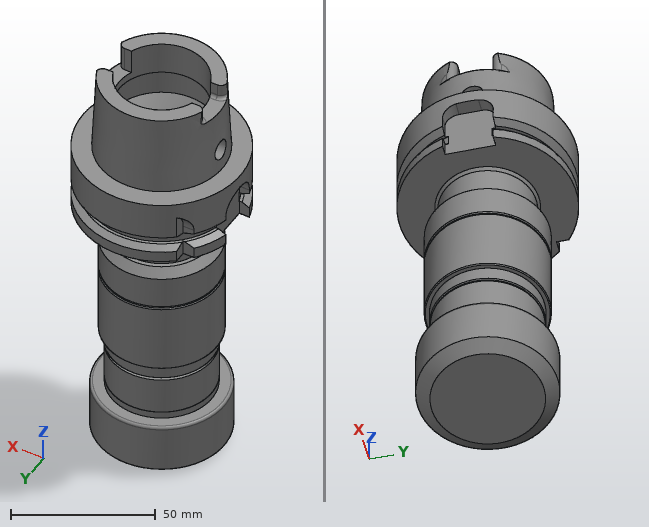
import cadquery as cq
import math


SHANK_LENGTH = 31.5
SHANK_BASE_R = 24.25
SHANK_TOP_R = 22.75
BORE_R = 34.05 / 2
BORE_STRAIGHT_DEPTH = 13.0
BORE_RELIEF_R = 40.01 / 2
BORE_RELIEF_BEVEL = 1.5
BORE_DEPTH = 29.3
BORE_FLOOR_R = 15.7
CROSS_HOLE_D = 7.5
CROSS_HOLE_Z = 8.6

DRIVE_SLOT_WIDTH = 12.5
DRIVE_SLOT_MOUTH_X = 21.1
DRIVE_SLOT_CORNER_R = 2.5
SHALLOW_SLOT_DEPTH = 6.0
SHALLOW_SLOT_FILLET = 1.3
DEEP_SLOT_DEPTH = 9.9

FLANGE_R = 62.94 / 2
FLANGE_HEIGHT = 26.0
GRIP_GROOVE_R = 27.5
GRIP_GROOVE_FLANK_R = 28.7
GRIP_GROOVE_Z = -18.35
GRIP_GROOVE_MOUTH = 6.7
GRIP_GROOVE_BOTTOM = 3.9

KEYWAY_TOP_Z = -5.35
KEYWAY_FLOOR = 26.4
ROUND_KEYWAY_WIDTH = 16.0
SQUARE_KEYWAY_WIDTH = 18.0
SQUARE_KEYWAY_CORNER_R = 5.0
NOTCH_FLOOR = 20.2
NOTCH_INNER_Y = 19.7
NOTCH_END_R = 8.0

NECK_R = 34.6 / 2
NECK_CHAMFER = 1.0

BODY_TOP_Z = -39.7
BODY_R = 44.03 / 2
BODY_TOP_CHAMFER = 3.1
JOINT_TOP_Z = -55.5
JOINT_BOTTOM_Z = -56.9
SLEEVE_CHAMFER = 0.4
BODY_BOTTOM_Z = -84.5

COLLAR_R = 40.39 / 2
COLLAR_BOTTOM_Z = -90.5
COLLAR_CHAMFER = 0.4
GAP_R = 34.05 / 2
NUT_SHANK_TOP_Z = -91.4
NUT_SHANK_R = 40.08 / 2
NUT_NECK_TOP_Z = -106.3
NUT_NECK_R = 39.88 / 2

NUT_TOP_Z = -109.1
NUT_R = 50.0 / 2
NUT_TOP_EDGE_R = 1.0
NUT_BOTTOM_BEVEL_Z = -128.4
NUT_BOTTOM_R = 40.01 / 2
TOTAL_LENGTH = 163.1
BOTTOM_Z = SHANK_LENGTH - TOTAL_LENGTH

SELECT_MARGIN = 0.1


def revolve_profile(points):
    """Turn (radius, z) points into a solid of revolution about the Z axis."""
    return cq.Workplane("XZ").polyline(points).close().revolve(360, (0, 0, 0), (0, 1, 0))


def turned_body():
    """Shank, flange, neck, chuck body and nut in one revolved outline from top to bottom."""
    groove_mouth = GRIP_GROOVE_MOUTH / 2
    groove_bottom = GRIP_GROOVE_BOTTOM / 2
    shank_and_flange = [
        (0, SHANK_LENGTH),
        (SHANK_TOP_R, SHANK_LENGTH),
        (SHANK_BASE_R, 0),
        (FLANGE_R, 0),
        (FLANGE_R, GRIP_GROOVE_Z + groove_mouth),
        (GRIP_GROOVE_FLANK_R, GRIP_GROOVE_Z + groove_bottom),
        (GRIP_GROOVE_R, GRIP_GROOVE_Z + groove_bottom),
        (GRIP_GROOVE_R, GRIP_GROOVE_Z - groove_bottom),
        (GRIP_GROOVE_FLANK_R, GRIP_GROOVE_Z - groove_bottom),
        (FLANGE_R, GRIP_GROOVE_Z - groove_mouth),
        (FLANGE_R, -FLANGE_HEIGHT),
    ]
    neck_and_body = [
        (NECK_R + NECK_CHAMFER, -FLANGE_HEIGHT),
        (NECK_R, -FLANGE_HEIGHT - NECK_CHAMFER),
        (NECK_R, BODY_TOP_Z),
        (BODY_R - BODY_TOP_CHAMFER, BODY_TOP_Z),
        (BODY_R, BODY_TOP_Z - BODY_TOP_CHAMFER),
        (BODY_R, JOINT_TOP_Z),
        (BODY_R - SLEEVE_CHAMFER, JOINT_TOP_Z - SLEEVE_CHAMFER),
        (BODY_R - SLEEVE_CHAMFER, JOINT_BOTTOM_Z + SLEEVE_CHAMFER),
        (BODY_R, JOINT_BOTTOM_Z),
        (BODY_R, BODY_BOTTOM_Z + SLEEVE_CHAMFER),
        (BODY_R - SLEEVE_CHAMFER, BODY_BOTTOM_Z),
    ]
    collar_and_nut_shank = [
        (COLLAR_R, BODY_BOTTOM_Z),
        (COLLAR_R, COLLAR_BOTTOM_Z + COLLAR_CHAMFER),
        (COLLAR_R - COLLAR_CHAMFER, COLLAR_BOTTOM_Z),
        (GAP_R, COLLAR_BOTTOM_Z),
        (GAP_R, NUT_SHANK_TOP_Z),
        (NUT_SHANK_R, NUT_SHANK_TOP_Z),
        (NUT_SHANK_R, NUT_NECK_TOP_Z),
        (NUT_NECK_R, NUT_NECK_TOP_Z),
    ]
    nut = [
        (NUT_NECK_R, NUT_TOP_Z),
        (NUT_R, NUT_TOP_Z),
        (NUT_R, NUT_BOTTOM_BEVEL_Z),
        (NUT_BOTTOM_R, BOTTOM_Z),
        (0, BOTTOM_Z),
    ]
    body = revolve_profile(shank_and_flange + neck_and_body + collar_and_nut_shank + nut)
    nut_top_edge = cq.selectors.BoxSelector(
        (-NUT_R, -NUT_R, NUT_TOP_Z - SELECT_MARGIN),
        (NUT_R, NUT_R, NUT_TOP_Z + SELECT_MARGIN),
    )
    return body.edges(nut_top_edge).edges(cq.selectors.RadiusNthSelector(-1)).fillet(NUT_TOP_EDGE_R)


def shank_bore():
    """Straight bore that opens into a wider clamping space with a bevelled floor edge."""
    relief_top_z = SHANK_LENGTH - BORE_STRAIGHT_DEPTH
    floor_z = SHANK_LENGTH - BORE_DEPTH
    return revolve_profile([
        (0, SHANK_LENGTH),
        (BORE_R, SHANK_LENGTH),
        (BORE_R, relief_top_z),
        (BORE_RELIEF_R, relief_top_z - BORE_RELIEF_BEVEL),
        (BORE_RELIEF_R, floor_z + BORE_RELIEF_R - BORE_FLOOR_R),
        (BORE_FLOOR_R, floor_z),
        (0, floor_z),
    ])


def cross_hole():
    """Round hole along X through both walls of the shank."""
    return (
        cq.Workplane("YZ", origin=(-FLANGE_R, 0, 0))
        .center(0, CROSS_HOLE_Z)
        .circle(CROSS_HOLE_D / 2)
        .extrude(2 * FLANGE_R)
    )


def drive_slot(depth):
    """Slot through the +X wall of the shank, rounding the ends of the rim on both sides.

    Each rim end is rounded until it faces straight away from the axis, and is
    flat and tangent to the round from there outwards.
    """
    corner = DRIVE_SLOT_CORNER_R
    wall_y = DRIVE_SLOT_WIDTH / 2
    center_x = DRIVE_SLOT_MOUTH_X - corner
    center_y = wall_y + corner
    end_angle = math.atan2(center_y, center_x)
    mid_angle = (end_angle - math.pi / 2) / 2
    arc_mid = (center_x + corner * math.cos(mid_angle), center_y + corner * math.sin(mid_angle))
    arc_end = (center_x + corner * math.cos(end_angle), center_y + corner * math.sin(end_angle))
    flat_end = (
        arc_end[0] - SHANK_BASE_R * math.sin(end_angle),
        arc_end[1] + SHANK_BASE_R * math.cos(end_angle),
    )
    half_slot = (
        cq.Workplane("XY", origin=(0, 0, SHANK_LENGTH - depth))
        .lineTo(0, wall_y)
        .lineTo(center_x, wall_y)
        .threePointArc(arc_mid, arc_end)
        .lineTo(*flat_end)
        .lineTo(FLANGE_R, flat_end[1])
        .lineTo(FLANGE_R, 0)
        .close()
        .extrude(depth)
    )
    return half_slot.union(half_slot.mirror("XZ"))


def shallow_drive_slot():
    """Slot on the -X side with its floor filleted into its walls."""
    slot = drive_slot(SHALLOW_SLOT_DEPTH).faces("<Z").edges().fillet(SHALLOW_SLOT_FILLET)
    rim_side = (
        cq.Workplane("XY", origin=(SHALLOW_SLOT_FILLET, 0, 0))
        .box(FLANGE_R, 2 * FLANGE_R, 2 * SHANK_LENGTH, centered=(False, True, True))
    )
    return slot.intersect(rim_side).rotate((0, 0, 0), (0, 0, 1), 180)


def keyway(direction, width, corner_r, floor, center_y):
    """Keyway in the flange rim, open at the flange bottom and rounded at its top corners.

    direction is +1 for the +X side and -1 for the -X side.
    """
    half = width / 2
    arc_mid = corner_r * (1 - math.sqrt(0.5))
    top_half = half - corner_r
    shoulder_z = KEYWAY_TOP_Z - corner_r
    outline = (
        cq.Workplane("YZ", origin=(direction * floor, 0, 0))
        .moveTo(center_y - half, -FLANGE_HEIGHT)
        .lineTo(center_y - half, shoulder_z)
        .threePointArc(
            (center_y - half + arc_mid, KEYWAY_TOP_Z - arc_mid), (center_y - top_half, KEYWAY_TOP_Z)
        )
    )
    if top_half > 0:
        outline = outline.lineTo(center_y + top_half, KEYWAY_TOP_Z)
    return (
        outline.threePointArc(
            (center_y + half - arc_mid, KEYWAY_TOP_Z - arc_mid), (center_y + half, shoulder_z)
        )
        .lineTo(center_y + half, -FLANGE_HEIGHT)
        .close()
        .extrude(direction * FLANGE_R)
    )


def flange_keyways():
    """Round-topped keyway on -X, square-topped one on +X and an off-centre notch towards -X, +Y."""
    round_keyway = keyway(-1, ROUND_KEYWAY_WIDTH, ROUND_KEYWAY_WIDTH / 2, KEYWAY_FLOOR, 0)
    square_keyway = keyway(1, SQUARE_KEYWAY_WIDTH, SQUARE_KEYWAY_CORNER_R, KEYWAY_FLOOR, 0)
    notch = keyway(-1, 2 * NOTCH_END_R, NOTCH_END_R, NOTCH_FLOOR, NOTCH_INNER_Y + NOTCH_END_R)
    return round_keyway.union(square_keyway).union(notch)


result = turned_body().cut(shank_bore()).cut(cross_hole())
result = result.cut(drive_slot(DEEP_SLOT_DEPTH)).cut(shallow_drive_slot())
result = result.cut(flange_keyways())